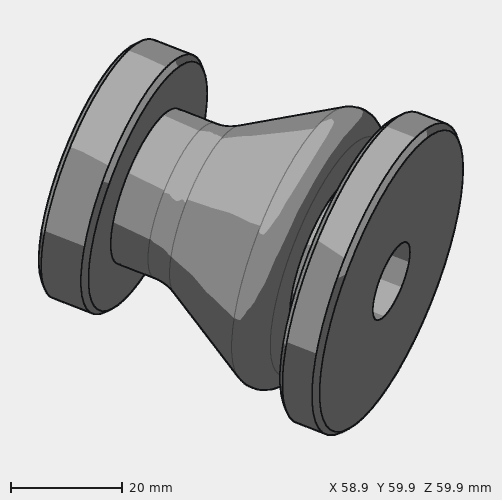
import cadquery as cq
import math

total_length = 58.85
bore_diameter = 14.95
neck_diameter = 29.95

small_flange_diameter = 49.9
small_flange_width = 10.0
large_flange_diameter = 59.9
large_flange_width = 7.95
flange_chamfer = 1.0

rim_diameter = 53.9
rim_round = 4.0
rim_gap = 4.95
throat_round = 10.0
cone_angle = math.radians(30)


def disc(start, width, diameter):
    """Cylinder along X, starting at the given X position."""
    return cq.Workplane("YZ").workplane(offset=start).circle(diameter / 2).extrude(width)


def flange(start, width, diameter):
    """Disc with both outer edges chamfered."""
    return disc(start, width, diameter).edges().chamfer(flange_chamfer)


def flared_cone():
    """Cone blended tangentially into the neck and into its rounded rim."""
    neck_radius = neck_diameter / 2
    rim_face_x = total_length - large_flange_width - rim_gap
    rim_center_x = rim_face_x - rim_round
    rim_center_r = rim_diameter / 2 - rim_round

    def on_rim(angle):
        """Point on the rim round, with the angle measured from +X."""
        return (rim_center_x + rim_round * math.cos(angle), rim_center_r + rim_round * math.sin(angle))

    cone_end_angle = math.pi / 2 + cone_angle
    cone_end = on_rim(cone_end_angle)
    rim_middle = on_rim(cone_end_angle / 2)

    def throat_offset(angle):
        """Axial and radial offset from the throat start after turning by the angle."""
        return throat_round * math.sin(angle), throat_round * (1 - math.cos(angle))

    throat_dx, throat_dr = throat_offset(cone_angle)
    middle_dx, middle_dr = throat_offset(cone_angle / 2)
    cone_start_r = neck_radius + throat_dr
    cone_start_x = cone_end[0] - (cone_end[1] - cone_start_r) / math.tan(cone_angle)
    throat_x = cone_start_x - throat_dx

    profile = (
        cq.Workplane("XY")
        .moveTo(throat_x, 0)
        .lineTo(throat_x, neck_radius)
        .threePointArc((throat_x + middle_dx, neck_radius + middle_dr), (cone_start_x, cone_start_r))
        .lineTo(*cone_end)
        .threePointArc(rim_middle, (rim_face_x, rim_center_r))
        .lineTo(rim_face_x, 0)
        .close()
    )
    return profile.revolve(360, (0, 0, 0), (1, 0, 0))


neck = disc(0, total_length, neck_diameter)
small_flange = flange(0, small_flange_width, small_flange_diameter)
large_flange = flange(total_length - large_flange_width, large_flange_width, large_flange_diameter)
bore = disc(0, total_length, bore_diameter)

result = neck.union(small_flange).union(large_flange).union(flared_cone()).cut(bore)